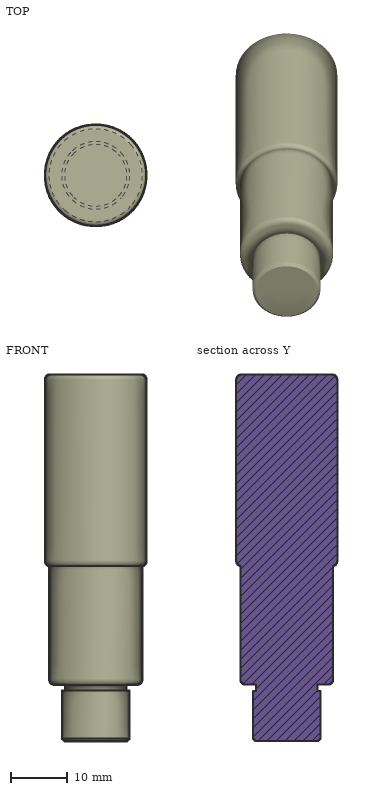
import cadquery as cq

total_length = 65.0
grip_diameter = 18.0
body_diameter = 16.5
neck_diameter = 11.0
tip_diameter = 12.0

tip_top = 9.0
neck_top = 10.0
body_top = 31.0

edge_radius = 1.0
tip_chamfer = 0.5


def cylinder(diameter, bottom, top):
    """Cylinder on the Z axis between two heights."""
    return cq.Workplane("XY").workplane(offset=bottom).circle(diameter / 2).extrude(top - bottom)


grip = cylinder(grip_diameter, body_top, total_length).edges("%CIRCLE").fillet(edge_radius)

body = cylinder(body_diameter, neck_top, body_top + edge_radius).faces("<Z").edges().fillet(edge_radius)

neck = cylinder(neck_diameter, tip_top, neck_top)

tip = cylinder(tip_diameter, 0, tip_top).faces("<Z").edges().chamfer(tip_chamfer)

result = grip.union(body).union(neck).union(tip)